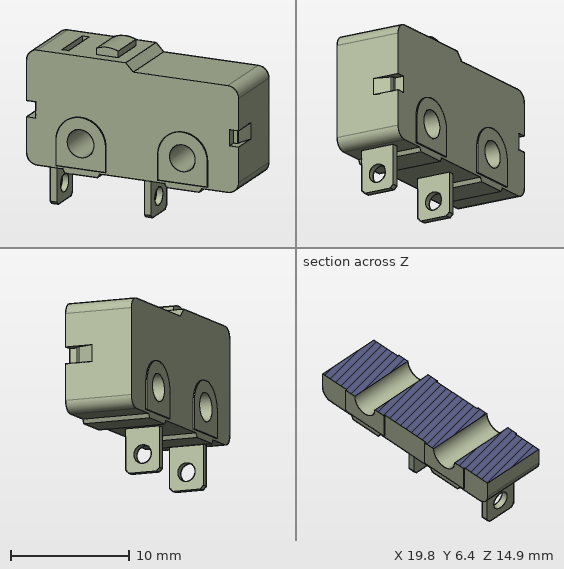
import cadquery as cq

LENGTH = 19.8
DEPTH = 6.15
HEIGHT = 10.25
LOW_HEIGHT = 9.52
SLOPE_START = 9.27
SLOPE_END = 9.98
CORNER_RADIUS = 1.0
FRONT = -DEPTH / 2

TOTAL_DEPTH = 6.4
PAD_RADIUS = 2.32
PAD_BOTTOM = 0.24
HOLE_PITCH = 9.5
LEFT_HOLE_X = 5.1
RIGHT_HOLE_X = LEFT_HOLE_X + HOLE_PITCH
HOLE_Z = 2.51
LEFT_HOLE_DIAMETER = 2.5
RIGHT_HOLE_DIAMETER = 2.4
FOOT_TOP_WIDTH = 3.46
FOOT_BOTTOM_WIDTH = 3.03
FOOT_DROP = 0.35

TOTAL_HEIGHT = 14.89
TERMINAL_LENGTH = 3.86
PLUNGER_TOP = TOTAL_HEIGHT - TERMINAL_LENGTH
PLUNGER_SHOULDER = 10.83
PLUNGER_X = 7.09
PLUNGER_WIDTH = 2.0
PLUNGER_BACK = 1.55
RECESS_FRONT = -2.05

SLOT_LEFT = 2.85
SLOT_WIDTH = 0.63
SLOT_BACK = 2.05
SLOT_DEPTH = 0.99

FIRST_TERMINAL_X = 1.85
TERMINAL_PITCH = 8.8
TERMINAL_THICKNESS = 0.61
TERMINAL_WIDTH = 3.19
TERMINAL_CHAMFER = 0.3
TERMINAL_HOLE_DIAMETER = 1.6
TERMINAL_HOLE_DROP = 2.3

NOTCH_BOTTOM = 4.18
NOTCH_HEIGHT = 1.45
NOTCH_INSET = 0.85
LATCH_INSET = 0.48
LATCH_FRONT = -2.24
RAMP_FRONT = -2.05
RAMP_BACK = -0.61


def make_housing():
    profile = (
        cq.Workplane("XZ", origin=(0, DEPTH / 2, 0))
        .polyline([
            (0, 0),
            (LENGTH, 0),
            (LENGTH, LOW_HEIGHT),
            (SLOPE_END, LOW_HEIGHT),
            (SLOPE_START, HEIGHT),
            (0, HEIGHT),
        ])
        .close()
        .extrude(DEPTH)
    )
    return profile.edges("|Y and (<X or >X)").fillet(CORNER_RADIUS)


def make_pad(hole_x):
    """Arch-shaped plate that passes through the housing and stands proud of both faces."""
    return (
        cq.Workplane("XZ", origin=(hole_x, TOTAL_DEPTH / 2, 0))
        .moveTo(-PAD_RADIUS, PAD_BOTTOM)
        .lineTo(PAD_RADIUS, PAD_BOTTOM)
        .lineTo(PAD_RADIUS, HOLE_Z)
        .threePointArc((0, HOLE_Z + PAD_RADIUS), (-PAD_RADIUS, HOLE_Z))
        .close()
        .extrude(TOTAL_DEPTH)
    )


def make_foot(hole_x):
    return (
        cq.Workplane("XZ", origin=(hole_x, DEPTH / 2, 0))
        .polyline([
            (-FOOT_TOP_WIDTH / 2, 0),
            (FOOT_TOP_WIDTH / 2, 0),
            (FOOT_BOTTOM_WIDTH / 2, -FOOT_DROP),
            (-FOOT_BOTTOM_WIDTH / 2, -FOOT_DROP),
        ])
        .close()
        .extrude(DEPTH)
    )


def make_mounting_hole(hole_x, diameter):
    return (
        cq.Workplane("XZ", origin=(hole_x, TOTAL_DEPTH / 2, HOLE_Z))
        .circle(diameter / 2)
        .extrude(TOTAL_DEPTH)
    )


def make_plunger():
    half_width = PLUNGER_WIDTH / 2
    return (
        cq.Workplane("XZ", origin=(PLUNGER_X, PLUNGER_BACK, 0))
        .moveTo(-half_width, HEIGHT)
        .lineTo(half_width, HEIGHT)
        .lineTo(half_width, PLUNGER_SHOULDER)
        .threePointArc((0, PLUNGER_TOP), (-half_width, PLUNGER_SHOULDER))
        .close()
        .extrude(PLUNGER_BACK - RECESS_FRONT)
    )


def make_lever_slot():
    return cq.Workplane("XY", origin=(SLOT_LEFT, RECESS_FRONT, HEIGHT - SLOT_DEPTH)).box(
        SLOT_WIDTH, SLOT_BACK - RECESS_FRONT, SLOT_DEPTH, centered=False
    )


def make_terminal(center_x):
    blade = (
        cq.Workplane("XY", origin=(center_x, 0, -TERMINAL_LENGTH))
        .box(TERMINAL_THICKNESS, TERMINAL_WIDTH, TERMINAL_LENGTH, centered=(True, True, False))
        .edges("|X and <Z")
        .chamfer(TERMINAL_CHAMFER)
    )
    hole = (
        cq.Workplane("YZ", origin=(center_x - TERMINAL_THICKNESS / 2, 0, -TERMINAL_HOLE_DROP))
        .circle(TERMINAL_HOLE_DIAMETER / 2)
        .extrude(TERMINAL_THICKNESS)
    )
    return blade.cut(hole)


def make_left_notch():
    """Space cut from the left end, leaving the ramped latch standing."""
    return (
        cq.Workplane("XY", origin=(0, 0, NOTCH_BOTTOM))
        .polyline([
            (0, FRONT),
            (NOTCH_INSET, FRONT),
            (NOTCH_INSET, LATCH_FRONT),
            (LATCH_INSET, LATCH_FRONT),
            (LATCH_INSET, RAMP_FRONT),
            (0, RAMP_BACK),
        ])
        .close()
        .extrude(NOTCH_HEIGHT)
    )


body = make_housing()
for hole_x, hole_diameter in (
    (LEFT_HOLE_X, LEFT_HOLE_DIAMETER),
    (RIGHT_HOLE_X, RIGHT_HOLE_DIAMETER),
):
    body = body.union(make_pad(hole_x)).union(make_foot(hole_x))
    body = body.cut(make_mounting_hole(hole_x, hole_diameter))

body = body.union(make_plunger()).cut(make_lever_slot())

for terminal_x in (FIRST_TERMINAL_X, FIRST_TERMINAL_X + TERMINAL_PITCH):
    body = body.union(make_terminal(terminal_x))

left_notch = make_left_notch()
right_notch = left_notch.mirror("YZ", (LENGTH / 2, 0, 0))
result = body.cut(left_notch).cut(right_notch)